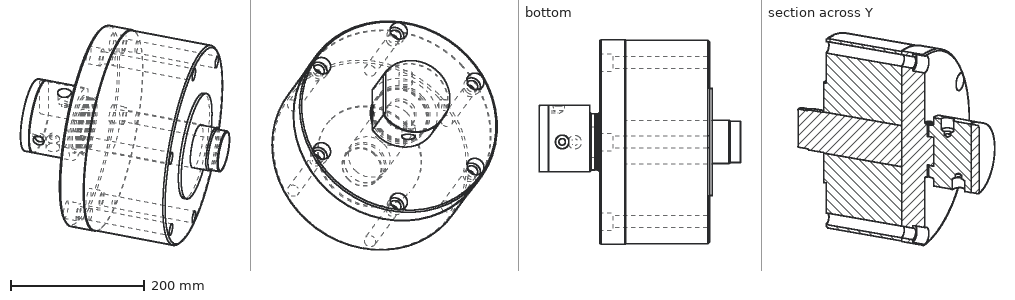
import cadquery as cq
import math


head_radius = 55.3
cap_length = 14.0
cap_edge_fillet = 3.0
head_end = 76.0
flat_offset = 44.8
joint_chamfer = 0.5

neck_radius = 42.5
neck_flare = 1.8
neck_edge_chamfer = 1.0
gap_start = 84.5
gap_width = 1.5
gap_end = gap_start + gap_width
journal_radius = 22.7
journal_start = head_end

drill_tip_angle = 118.0
port_radius = 10.0
port_depth = 17.0
port_pilot_radius = 5.0
port_pilot_depth = 24.5
top_port_x = 53.0
bottom_port_x = 34.7
side_port_x = 29.2
side_port_radius = 8.3
side_port_depth = 7.7

passage_radius = 1.5
passage_offset = 44.8

cover_radius = 153.5
cover_start = 90.5
cover_end = 129.5
cover_front_chamfer = 2.5
cover_rear_chamfer = 1.0

body_radius = 152.5
body_end = 255.5
body_rear_chamfer = 2.8
boss_radius = 80.5
boss_end = 259.7

rod_radius = 32.5
rod_tip_radius = 31.0
rod_taper_start = 284.0
rod_taper_end = 286.7
rod_end = 302.5
rod_end_chamfer = 1.2

bolt_count = 6
bolt_circle_radius = 137.5
bolt_hole_radius = 9.0
counterbore_radius = 13.2
counterbore_depth = 20.0


def turned(profile):
    """Revolve (x, radius) points, closed along the axis, about the X axis."""
    axis_points = [(profile[0][0], 0), *profile, (profile[-1][0], 0)]
    outline = cq.Workplane("XY").polyline(axis_points).close()
    return outline.revolve(360, (0, 0, 0), (1, 0, 0))


def rod_along_x(radius, start, end):
    """Plain cylinder on the X axis."""
    return cq.Workplane("YZ", origin=(start, 0, 0)).circle(radius).extrude(end - start)


def bolt_cylinders(radius, start, end):
    """One X-directed cylinder per bolt, the first one straight up."""
    return (
        cq.Workplane("YZ", origin=(start, 0, 0))
        .polarArray(bolt_circle_radius, 90, 360, bolt_count)
        .circle(radius)
        .extrude(end - start)
    )


def cut_flat(part):
    """Cut the flat on the +Y side of the cap and head."""
    waste_size = 2 * head_radius
    waste = cq.Workplane("XY").box(head_end, waste_size, waste_size, centered=(False, False, True))
    return part.cut(waste.translate((0, flat_offset, 0)))


def drill(radius, depth, x, inward):
    """Cutter for a blind, cone-tipped hole at station x; "sideways" enters from -Y."""
    entry = head_radius
    floor = entry - depth
    tip = floor - radius / math.tan(math.radians(drill_tip_angle / 2))
    outline = [(0, tip), (radius, floor), (radius, entry), (0, entry)]
    tool = cq.Workplane("XZ").polyline(outline).close().revolve(360, (0, 0, 0), (0, 1, 0))
    turn = {"down": 0, "sideways": 90, "up": 180}[inward]
    return tool.rotate((0, 0, 0), (1, 0, 0), turn).translate((x, 0, 0))


def make_cap():
    profile = [
        (0, head_radius),
        (cap_length - joint_chamfer, head_radius),
        (cap_length, head_radius - joint_chamfer),
    ]
    cap = turned(profile).faces("<X").edges().fillet(cap_edge_fillet)
    return cut_flat(cap)


def make_head():
    profile = [
        (cap_length, head_radius - joint_chamfer),
        (cap_length + joint_chamfer, head_radius),
        (head_end, head_radius),
        (head_end, neck_radius + neck_flare),
        (head_end + neck_flare, neck_radius),
        (gap_start - neck_edge_chamfer, neck_radius),
        (gap_start, neck_radius - neck_edge_chamfer),
    ]
    head = cut_flat(turned(profile))
    head = head.cut(rod_along_x(journal_radius, journal_start, gap_start))
    for x, inward in [(top_port_x, "down"), (bottom_port_x, "up")]:
        head = head.cut(drill(port_radius, port_depth, x, inward))
        head = head.cut(drill(port_pilot_radius, port_pilot_depth, x, inward))
    head = head.cut(drill(side_port_radius, side_port_depth, side_port_x, "sideways"))
    passage = rod_along_x(passage_radius, cap_length, side_port_x)
    return head.cut(passage.translate((0, -passage_offset, 0)))


def make_cover():
    profile = [
        (journal_start, journal_radius),
        (gap_end, journal_radius),
        (gap_end, neck_radius - neck_edge_chamfer),
        (gap_end + neck_edge_chamfer, neck_radius),
        (cover_start - neck_flare, neck_radius),
        (cover_start, neck_radius + neck_flare),
        (cover_start, cover_radius - cover_front_chamfer),
        (cover_start + cover_front_chamfer, cover_radius),
        (cover_end - cover_rear_chamfer, cover_radius),
        (cover_end, cover_radius - cover_rear_chamfer),
    ]
    cover = turned(profile)
    cover = cover.cut(bolt_cylinders(bolt_hole_radius, cover_start, cover_end))
    return cover.cut(bolt_cylinders(counterbore_radius, cover_start, cover_start + counterbore_depth))


def make_body():
    profile = [
        (cover_end, body_radius),
        (body_end - body_rear_chamfer, body_radius),
        (body_end, body_radius - body_rear_chamfer),
        (body_end, boss_radius),
        (boss_end, boss_radius),
    ]
    body = turned(profile)
    body = body.cut(bolt_cylinders(bolt_hole_radius, cover_end, body_end))
    return body.cut(rod_along_x(rod_radius, cover_end, boss_end))


def make_rod():
    profile = [
        (cover_end, rod_radius),
        (rod_taper_start, rod_radius),
        (rod_taper_end, rod_tip_radius),
        (rod_end - rod_end_chamfer, rod_tip_radius),
        (rod_end, rod_tip_radius - rod_end_chamfer),
    ]
    return turned(profile)


cap = make_cap()
head = make_head()
cover = make_cover()
body = make_body()
rod = make_rod()

result = cq.Compound.makeCompound([cap.val(), head.val(), cover.val(), body.val(), rod.val()])